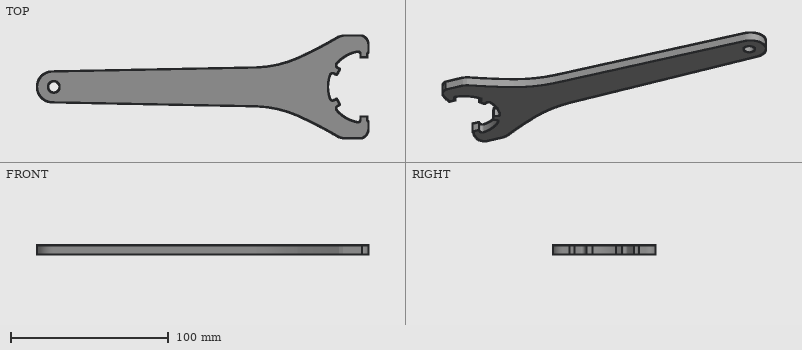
import cadquery as cq
import math

length = 210.0
head_width = 65.0
thickness = 6.0
half_head = head_width / 2

end_radius = 9.9
hang_hole_x = 10.7
hang_hole_diameter = 7.1
neck_x = 139.2
neck_half_width = 12.4

neck_arc_middle = (152.2, 14.0)
flare_join = (165.0, 18.3)
flare_arc_middle = (178.0, 24.5)
flare_end = (191.3, 32.0)
head_flat_start_x = 193.8
jaw_corner_length = 4.2
jaw_corner_height = 5.9

bore_x = 207.0
bore_radius = 22.7
tooth_tip_radius = 18.7
tooth_width = 4.5
tooth_root_fillet = 1.7
tooth_pitch = 60
first_tooth_angle = 90
tooth_count = 4
tooth_root_overlap = 0.8


def mirrored(point):
    """Reflect a point across the long axis of the wrench."""
    return point[0], -point[1]


def make_body():
    """Solid wrench outline, symmetric about the X axis."""
    handle_end = (end_radius, end_radius)
    neck = (neck_x, neck_half_width)
    flat_start = (head_flat_start_x, half_head)
    flat_end = (length - jaw_corner_length, half_head)
    jaw_side = (length, half_head - jaw_corner_height)
    corner_radius = (jaw_corner_length**2 + jaw_corner_height**2) / (2 * jaw_corner_length)
    half_sweep = math.asin(jaw_corner_height / corner_radius) / 2
    corner_middle = (
        length - corner_radius * (1 - math.cos(half_sweep)),
        jaw_side[1] + corner_radius * math.sin(half_sweep),
    )
    outline = (
        cq.Workplane("XY")
        .moveTo(*handle_end)
        .lineTo(*neck)
        .threePointArc(neck_arc_middle, flare_join)
        .threePointArc(flare_arc_middle, flare_end)
        .lineTo(*flat_start)
        .lineTo(*flat_end)
        .threePointArc(corner_middle, jaw_side)
        .lineTo(*mirrored(jaw_side))
        .threePointArc(mirrored(corner_middle), mirrored(flat_end))
        .lineTo(*mirrored(flat_start))
        .lineTo(*mirrored(flare_end))
        .threePointArc(mirrored(flare_arc_middle), mirrored(flare_join))
        .threePointArc(mirrored(neck_arc_middle), mirrored(neck))
        .lineTo(*mirrored(handle_end))
        .threePointArc((0, 0), handle_end)
        .close()
    )
    return outline.extrude(thickness)


def make_tooth(angle):
    """Straight tooth pointing at the bore centre from the given direction."""
    tooth_length = bore_radius + tooth_root_overlap - tooth_tip_radius
    tooth = cq.Workplane("XY").box(tooth_length, tooth_width, thickness, centered=(False, True, False))
    tooth = tooth.translate((tooth_tip_radius, 0, 0))
    return tooth.rotate((0, 0, 0), (0, 0, 1), angle).translate((bore_x, 0, 0))


def make_bore():
    """Bore cutter that leaves the teeth standing, with rounded tooth roots."""
    bore = cq.Workplane("XY").center(bore_x, 0).circle(bore_radius).extrude(thickness)
    for index in range(tooth_count):
        bore = bore.cut(make_tooth(first_tooth_angle + index * tooth_pitch))
    root_limit = (tooth_tip_radius + bore_radius) / 2
    root_edges = [
        edge
        for edge in bore.edges("|Z").vals()
        if math.hypot(edge.Center().x - bore_x, edge.Center().y) > root_limit
        and edge.Center().x < bore_x + tooth_width
    ]
    return bore.newObject(root_edges).fillet(tooth_root_fillet)


hang_hole = (
    cq.Workplane("XY")
    .center(hang_hole_x, 0)
    .circle(hang_hole_diameter / 2)
    .extrude(thickness)
)

result = make_body().cut(make_bore()).cut(hang_hole)